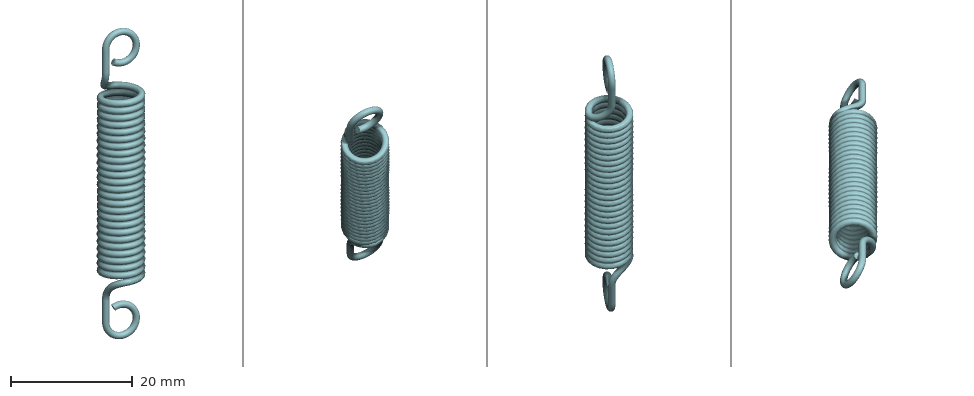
import cadquery as cq
import math

overall_length = 54.6
coil_outer_diameter = 8.0
wire_diameter = 1.2
coil_turns = 25.5
coil_height = 32.1
hook_radius = 2.75
hook_sweep = 300.0
shank_length = 4.0
bend_start_pull = 2.45
bend_end_pull = 2.45

wire_radius = wire_diameter / 2
coil_radius = coil_outer_diameter / 2 - wire_radius
pitch = coil_height / coil_turns
coil_end_z = coil_height / 2
hook_center_z = overall_length / 2 - wire_radius - hook_radius
shank_start_z = hook_center_z - shank_length


def sweep_wire(path, start, direction, frenet=False):
    """Sweep the round wire section along a path that starts at the given point."""
    section = cq.Workplane(cq.Plane(origin=start, normal=direction)).circle(wire_radius)
    return section.sweep(cq.Workplane(path), isFrenet=frenet)


def hook_point(angle):
    """Point on the hook centreline, measured in degrees from the shank over the crown."""
    turn = math.radians(angle)
    return cq.Vector(0, -hook_radius * math.cos(turn), hook_center_z + hook_radius * math.sin(turn))


def make_coil():
    """Right-handed helix from +X at the bottom to -X at the top."""
    start = cq.Vector(coil_radius, 0, -coil_end_z)
    helix = cq.Wire.makeHelix(pitch, coil_height, coil_radius).translate(cq.Vector(0, 0, -coil_end_z))
    direction = cq.Vector(0, 2 * math.pi * coil_radius, pitch)
    return sweep_wire(helix, start, direction, frenet=True)


def make_top_end():
    """Transition bend leaving the coil tangentially, straight shank and open hook."""
    coil_end = cq.Vector(-coil_radius, 0, coil_end_z)
    shank_start = cq.Vector(0, -hook_radius, shank_start_z)
    shank_end = hook_point(0)
    up = cq.Vector(0, 0, 1)
    coil_direction = cq.Vector(0, -2 * math.pi * coil_radius, pitch).normalized()

    bend = cq.Edge.makeBezier([
        coil_end,
        coil_end + coil_direction * bend_start_pull,
        shank_start - up * bend_end_pull,
        shank_start,
    ])
    shank = cq.Edge.makeLine(shank_start, shank_end)
    hook = cq.Edge.makeThreePointArc(shank_end, hook_point(hook_sweep / 2), hook_point(hook_sweep))

    bend_wire = sweep_wire(bend, coil_end, coil_direction)
    shank_wire = sweep_wire(shank, shank_start, up)
    hook_wire = sweep_wire(hook, shank_end, up)
    return bend_wire.union(shank_wire).union(hook_wire)


top_end = make_top_end()
bottom_end = top_end.rotate((0, 0, 0), (0, 1, 0), 180)

result = make_coil().union(top_end).union(bottom_end)